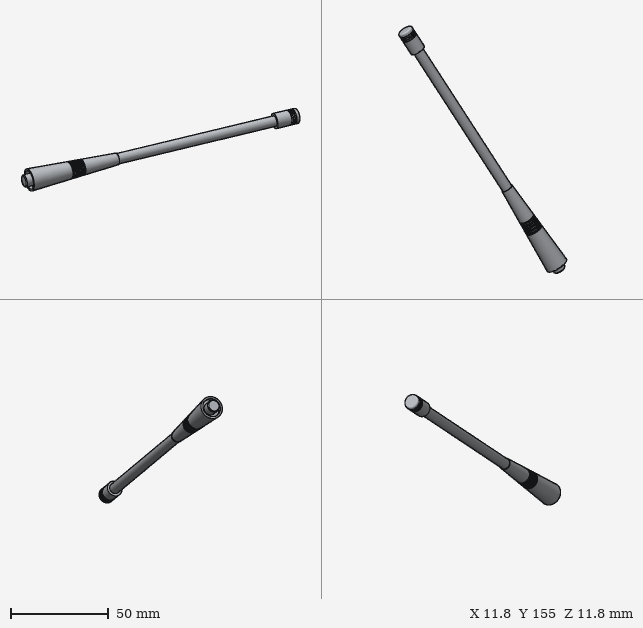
import cadquery as cq

total_length = 155.0

plug_length = 3.1
plug_radius = 3.3
plug_chamfer = 0.5

grip_end = 52.9
grip_large_radius = 5.9
grip_small_radius = 3.1
recess_radius = 4.8
recess_depth = 2.3

rod_radius = 2.8

cap_length = 12.9
cap_radius = 4.0
cap_fillet = 1.0

groove_depth = 0.5
grip_groove_width = 0.8
grip_groove_count = 5
grip_grooves_start = 25.9
grip_grooves_end = 33.2
grip_groove_span = grip_grooves_end - grip_grooves_start
grip_groove_pitch = (grip_groove_span - grip_groove_width) / (grip_groove_count - 1)
cap_groove_width = 1.0
cap_groove_pitch = 1.9
cap_groove_count = 2
last_cap_groove_inset = 2.0


def cylinder(radius, start, length):
    """Solid cylinder along +Y beginning at y = start."""
    base = cq.Workplane("XZ", origin=(0, start, 0))
    return base.circle(radius).extrude(-length)


def ring(outer_radius, inner_radius, start, length):
    """Tube along +Y beginning at y = start."""
    return cylinder(outer_radius, start, length).cut(cylinder(inner_radius, start, length))


def grip_radius(y):
    """Radius of the tapered grip at position y."""
    fraction = (y - plug_length) / (grip_end - plug_length)
    return grip_large_radius + fraction * (grip_small_radius - grip_large_radius)


def make_grip():
    grip = (
        cq.Workplane("XY")
        .moveTo(0, plug_length)
        .lineTo(grip_large_radius, plug_length)
        .lineTo(grip_small_radius, grip_end)
        .lineTo(0, grip_end)
        .close()
        .revolve(360, (0, 0, 0), (0, 1, 0))
    )
    grip = grip.cut(cylinder(recess_radius, plug_length, recess_depth))
    for index in range(grip_groove_count):
        start = grip_grooves_start + index * grip_groove_pitch
        floor_radius = grip_radius(start + grip_groove_width / 2) - groove_depth
        grip = grip.cut(ring(grip_large_radius, floor_radius, start, grip_groove_width))
    return grip


def make_plug():
    plug = cylinder(plug_radius, 0, plug_length + recess_depth)
    return plug.faces("<Y").chamfer(plug_chamfer)


def make_cap():
    cap = cylinder(cap_radius, total_length - cap_length, cap_length)
    cap = cap.faces(">Y").edges().fillet(cap_fillet)
    last_start = total_length - last_cap_groove_inset - cap_groove_width
    for index in range(cap_groove_count):
        start = last_start - index * cap_groove_pitch
        cap = cap.cut(ring(cap_radius, cap_radius - groove_depth, start, cap_groove_width))
    return cap


rod = cylinder(rod_radius, grip_end, total_length - cap_length - grip_end)
result = make_plug().union(make_grip()).union(rod).union(make_cap())